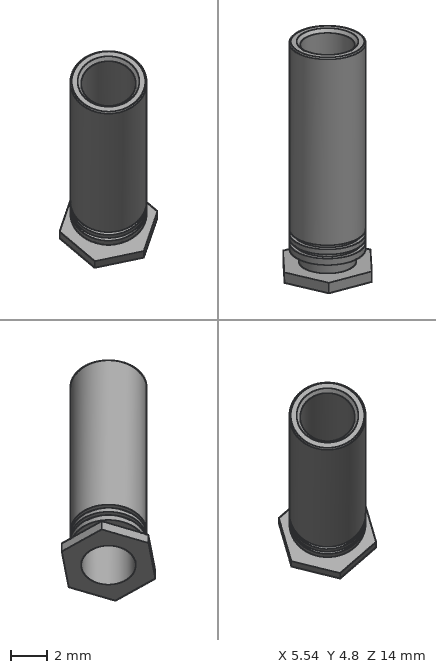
import cadquery as cq
import math

total_height = 14.0
hex_across_flats = 4.8
hex_sides = 6
hex_across_corners = hex_across_flats / math.cos(math.pi / hex_sides)

barrel_diameter = 4.2
groove_diameter = 3.7
neck_diameter = 3.18
bore_diameter = 3.0

flange_top = 0.65
neck_top = 1.4
lower_ring_top = 1.79
lower_groove_top = 2.05
upper_ring_top = 2.35
upper_groove_top = 2.6

rim_chamfer = 0.08
bore_chamfer = 0.2


def cylinder(diameter, bottom, top):
    """Solid cylinder on the Z axis between two heights."""
    return cq.Workplane("XY").workplane(offset=bottom).circle(diameter / 2).extrude(top - bottom)


flange = (
    cq.Workplane("XY")
    .polygon(hex_sides, hex_across_corners)
    .extrude(flange_top)
)

barrel = cylinder(barrel_diameter, upper_groove_top, total_height).faces(">Z").chamfer(rim_chamfer)

body = flange.union(barrel)
for diameter, bottom, top in (
    (neck_diameter, flange_top, neck_top),
    (barrel_diameter, neck_top, lower_ring_top),
    (groove_diameter, lower_ring_top, lower_groove_top),
    (barrel_diameter, lower_groove_top, upper_ring_top),
    (groove_diameter, upper_ring_top, upper_groove_top),
):
    body = body.union(cylinder(diameter, bottom, top))

bore = cylinder(bore_diameter, 0, total_height)
mouth = (
    cq.Workplane("XY")
    .workplane(offset=total_height)
    .circle(bore_diameter / 2 + bore_chamfer)
    .extrude(-bore_chamfer, taper=45)
)
result = body.cut(bore).cut(mouth)